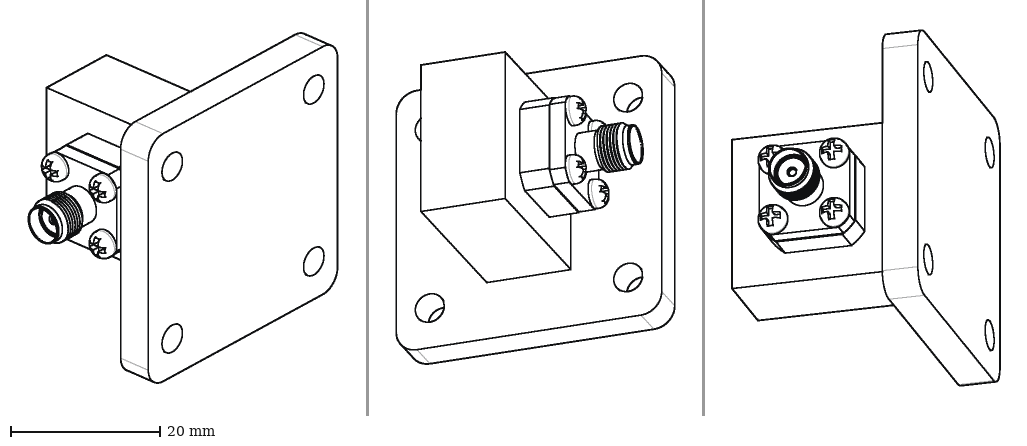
import cadquery as cq


total_length = 30.0
flange_thickness = 5.0
flange_side = 38.1
flange_corner_radius = 3.0
flange_hole_diameter = 4.13
flange_hole_spacing_y = 28.45
flange_hole_spacing_z = 26.4
block_length = total_length - flange_thickness
block_depth = 12.05
block_height = 21.55

overall_depth = 39.3
connector_x = 12.1
block_face = block_depth / 2
connector_reach = overall_depth - flange_side / 2 - block_face

base_side = 13.0
base_thickness = 4.2
base_round_diameter = 16.0
plate_side = 12.7
plate_thickness = 2.25
plate_round_diameter = 15.92
plate_face = base_thickness + plate_thickness

screw_spacing = 8.6
screw_head_diameter = 3.97
screw_head_height = 2.0
screw_rim_height = 0.47
cross_length = 2.8
cross_width = 0.83
cross_depth = 1.1

barrel_diameter = 5.35
shank_length = 2.75
thread_diameter = 6.33
thread_root_diameter = 5.75
thread_crests = 7
thread_pitch = 0.47
thread_lead_in = 0.63
tip_diameter = 5.25
tip_ring_length = 0.25

bore_diameter = 4.95
groove_diameter = 4.6
bore_depth = 1.95
insulator_diameter = 4.3
insulator_face_diameter = 3.97
insulator_bevel_height = 0.3
socket_diameter = 1.3
socket_depth = 0.4
socket_tip_diameter = 1.0


def connector_plane(height):
    """Sketch plane facing -Y at a height above the block face, on the connector axis."""
    return cq.Workplane("XZ", origin=(connector_x, -block_face - height, 0))


def make_flange():
    flange = (
        cq.Workplane("YZ", origin=(block_length, 0, 0))
        .rect(flange_side, flange_side)
        .extrude(flange_thickness)
        .edges("|X")
        .fillet(flange_corner_radius)
    )
    holes = (
        cq.Workplane("YZ", origin=(block_length, 0, 0))
        .rect(flange_hole_spacing_y, flange_hole_spacing_z, forConstruction=True)
        .vertices()
        .circle(flange_hole_diameter / 2)
        .extrude(flange_thickness)
    )
    return flange.cut(holes)


def make_block():
    return cq.Workplane("YZ").rect(block_depth, block_height).extrude(block_length)


def make_turned_square(side, round_diameter, thickness, height):
    """Square plate whose corners are cut by a round on the connector axis."""
    square = connector_plane(height).rect(side, side).extrude(thickness)
    corner_round = connector_plane(height).circle(round_diameter / 2).extrude(thickness)
    return square.intersect(corner_round)


def make_screw_head():
    head = (
        connector_plane(plate_face)
        .circle(screw_head_diameter / 2)
        .extrude(screw_head_height)
        .faces("<Y")
        .edges()
        .fillet(screw_head_height - screw_rim_height)
    )
    cross_floor = connector_plane(plate_face + screw_head_height - cross_depth)
    for length, width in [(cross_length, cross_width), (cross_width, cross_length)]:
        head = head.cut(cross_floor.rect(length, width).extrude(cross_depth))
    return head


def make_barrel():
    """Turned barrel: the profile is (radius, height above the plate) about its axis."""
    length = connector_reach - plate_face
    insulator_face = length - bore_depth
    socket_floor = insulator_face - socket_depth
    barrel_radius = barrel_diameter / 2
    profile = [(0, 0), (barrel_radius, 0), (barrel_radius, shank_length)]
    first_crest = shank_length + thread_lead_in
    for crest in range(thread_crests):
        crest_height = first_crest + crest * thread_pitch
        if crest > 0:
            profile.append((thread_root_diameter / 2, crest_height - thread_pitch / 2))
        profile.append((thread_diameter / 2, crest_height))
    thread_end = first_crest + (thread_crests - 1) * thread_pitch + thread_lead_in
    profile += [
        (barrel_radius, thread_end),
        (barrel_radius, length - tip_ring_length),
        (tip_diameter / 2, length - tip_ring_length),
        (tip_diameter / 2, length),
        (bore_diameter / 2, length),
        (bore_diameter / 2, insulator_face),
        (groove_diameter / 2, insulator_face),
        (groove_diameter / 2, insulator_face - insulator_bevel_height),
        (insulator_diameter / 2, insulator_face - insulator_bevel_height),
        (insulator_face_diameter / 2, insulator_face),
        (socket_diameter / 2, insulator_face),
        (socket_diameter / 2, socket_floor),
        (socket_tip_diameter / 2, socket_floor),
        (0, socket_floor - socket_tip_diameter / 2),
    ]
    barrel = cq.Workplane("XY").polyline(profile).close().revolve(360, (0, 0), (0, 1))
    return barrel.rotate((0, 0, 0), (0, 0, 1), 180).translate((connector_x, -block_face - plate_face, 0))


result = make_flange().union(make_block())
result = result.union(make_turned_square(base_side, base_round_diameter, base_thickness, 0))
plate = make_turned_square(plate_side, plate_round_diameter, plate_thickness, base_thickness)
result = result.union(plate)
result = result.union(make_barrel())

screw_head = make_screw_head()
for side_x in (-1, 1):
    for side_z in (-1, 1):
        offset = (side_x * screw_spacing / 2, 0, side_z * screw_spacing / 2)
        result = result.union(screw_head.translate(offset))